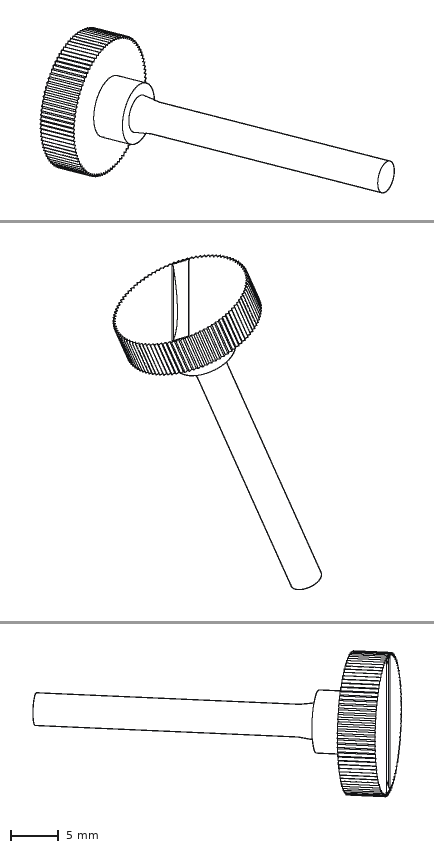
import cadquery as cq
import math

TOTAL_LENGTH = 37.5
HEAD_THICKNESS = 4.0
COLLAR_END = 7.5
NECK_END = 9.52

HEAD_DIAMETER = 15.1
COLLAR_DIAMETER = 6.65
NECK_DIAMETER = 4.0
SHANK_DIAMETER = 3.45

TOOTH_COUNT = 95
TOOTH_DEPTH = 0.25

SLOT_WIDTH = 1.7
SLOT_LENGTH = 14.45
SLOT_DEPTH = 1.35
SLOT_BEVEL = 0.1


def knurled_head():
    """Disc along X whose rim is a ring of sharp V teeth, starting with a groove at +Z."""
    pitch = 2 * math.pi / TOOTH_COUNT
    tip_radius = HEAD_DIAMETER / 2
    root_radius = tip_radius - TOOTH_DEPTH
    rim = []
    for tooth in range(TOOTH_COUNT):
        groove_angle = math.pi / 2 + tooth * pitch
        tip_angle = groove_angle + pitch / 2
        rim.append((root_radius * math.cos(groove_angle), root_radius * math.sin(groove_angle)))
        rim.append((tip_radius * math.cos(tip_angle), tip_radius * math.sin(tip_angle)))
    return cq.Workplane("YZ").polyline(rim).close().extrude(HEAD_THICKNESS)


def turned_stem():
    """Collar, tapered neck and plain shank as one revolved profile about X."""
    shank_radius = SHANK_DIAMETER / 2
    return (
        cq.Workplane("XY")
        .moveTo(HEAD_THICKNESS / 2, 0)
        .lineTo(HEAD_THICKNESS / 2, COLLAR_DIAMETER / 2)
        .lineTo(COLLAR_END, COLLAR_DIAMETER / 2)
        .lineTo(COLLAR_END, NECK_DIAMETER / 2)
        .lineTo(NECK_END, shank_radius)
        .lineTo(TOTAL_LENGTH, shank_radius)
        .lineTo(TOTAL_LENGTH, 0)
        .close()
        .revolve(360, (0, 0, 0), (1, 0, 0))
    )


def slot_cutter():
    """Bevelled slot section along Z, limited by the disc that forms the round floor."""
    half_width = SLOT_WIDTH / 2
    mouth = half_width + SLOT_BEVEL
    section = [
        (0, -mouth),
        (SLOT_BEVEL, -half_width),
        (SLOT_DEPTH, -half_width),
        (SLOT_DEPTH, half_width),
        (SLOT_BEVEL, half_width),
        (0, mouth),
    ]
    channel = cq.Workplane("XY").polyline(section).close().extrude(SLOT_LENGTH / 2, both=True)
    floor_radius = ((SLOT_LENGTH / 2) ** 2 + SLOT_DEPTH**2) / (2 * SLOT_DEPTH)
    floor_disc = (
        cq.Workplane("XZ")
        .center(SLOT_DEPTH - floor_radius, 0)
        .circle(floor_radius)
        .extrude(mouth, both=True)
    )
    return channel.intersect(floor_disc)


result = knurled_head().union(turned_stem()).cut(slot_cutter())